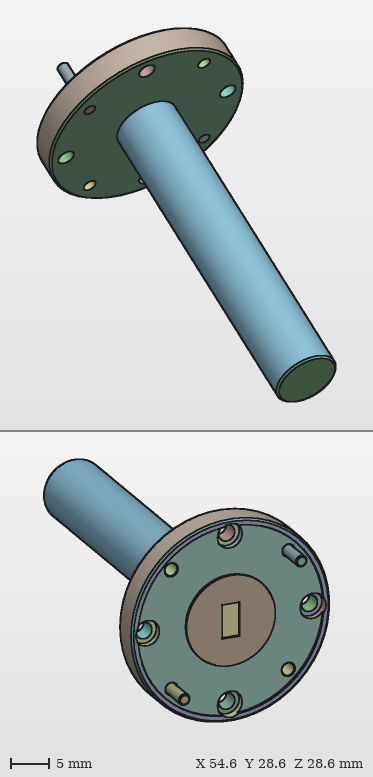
import cadquery as cq
import math

total_length = 54.65
flange_diameter = 28.6
flange_thickness = 4.1
flange_chamfer = 0.3
shaft_diameter = 8.8
shaft_chamfer = 0.3

rim_inner_diameter = 26.8
boss_diameter = 12.8
recess_depth = 0.4
window_width = 2.55
window_height = 4.8
window_depth = 0.4

pitch_radius = 11.9
screw_hole_diameter = 2.3
counterbore_diameter = 3.55
counterbore_depth = 1.35
dowel_hole_diameter = 1.75
hole_chamfer = 0.1
pin_diameter = 1.6
pin_chamfer = 0.15
pin_projection = 3.95

flange_front = pin_projection
flange_back = flange_front + flange_thickness
recess_floor = flange_front + recess_depth
screw_angles = [0, 90, 180, 270]
pin_angles = [135, 315]
dowel_hole_angles = [45, 225]


def pitch_point(angle):
    """(Y, Z) of a point on the pitch circle, measured from +Y toward +Z."""
    radians = math.radians(angle)
    return pitch_radius * math.cos(radians), pitch_radius * math.sin(radians)


def cylinder(diameter, x_start, x_end, center=(0, 0)):
    """Cylinder along X around the given (Y, Z) center."""
    return (
        cq.Workplane("YZ", origin=(x_start, *center))
        .circle(diameter / 2)
        .extrude(x_end - x_start)
    )


def chamfered_hole(diameter, angle):
    """Cutter for a through hole from the recess floor, widened at its mouth."""
    center = pitch_point(angle)
    hole = cylinder(diameter, recess_floor, flange_back, center)
    mouth = cq.Solid.makeCone(
        diameter / 2 + hole_chamfer,
        diameter / 2,
        hole_chamfer,
        cq.Vector(recess_floor, *center),
        cq.Vector(1, 0, 0),
    )
    return hole.union(cq.Workplane(mouth))


def make_body():
    """Flange and shaft in one piece, with the front face details and holes."""
    flange = cylinder(flange_diameter, flange_front, flange_back).edges().chamfer(flange_chamfer)
    shaft = cylinder(shaft_diameter, flange_back, total_length).faces(">X").edges().chamfer(shaft_chamfer)
    body = flange.union(shaft)

    ring = cylinder(rim_inner_diameter, flange_front, recess_floor)
    body = body.cut(ring.cut(cylinder(boss_diameter, flange_front, recess_floor)))

    window = (
        cq.Workplane("YZ", origin=(flange_front, 0, 0))
        .rect(window_width, window_height)
        .extrude(window_depth)
    )
    body = body.cut(window)

    for angle in screw_angles:
        center = pitch_point(angle)
        body = body.cut(cylinder(screw_hole_diameter, flange_front, flange_back, center))
        counterbore_floor = flange_front + counterbore_depth
        body = body.cut(cylinder(counterbore_diameter, flange_front, counterbore_floor, center))

    for angle in dowel_hole_angles:
        body = body.cut(chamfered_hole(dowel_hole_diameter, angle))
    for angle in pin_angles:
        body = body.cut(chamfered_hole(pin_diameter, angle))
    return body


def make_pin(angle):
    """Pin seated through the flange, with a chamfered free end."""
    pin = cylinder(pin_diameter, 0, flange_back, pitch_point(angle))
    return pin.faces("<X").edges().chamfer(pin_chamfer)


body = make_body()
pins = [make_pin(angle) for angle in pin_angles]
result = cq.Compound.makeCompound([body.val(), *[pin.val() for pin in pins]])